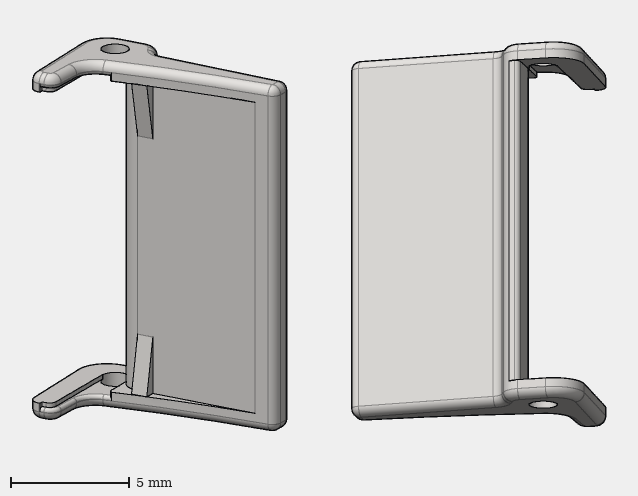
import cadquery as cq

HEIGHT = 15.5
CAP_THICKNESS = 0.78
EDGE_RADIUS = 0.39
HOLE_DIAMETER = 1.2

TIP_X = 8.39
HOOK_END_Y = -4.43
BACK_Y = 1.47
KNUCKLE_LEFT = (-1.86, BACK_Y)
HOOK_LEFT = (-1.67, HOOK_END_Y)
HOOK_RIGHT = (-0.39, HOOK_END_Y)
INNER_CORNER = (-0.31, -1.92)
WING_FRONT_MIDDLE = (4.08, -1.25)
WING_FRONT_TIP = (TIP_X, -0.93)
WING_BACK_TIP = (TIP_X, 0.26)
WING_ROOT = (1.75, 0.45)
KNUCKLE_RIGHT = (1.24, BACK_Y)

TIP_RADIUS = 0.4
HOOK_RADIUS = 0.55
CORNER_RADII = [
    (KNUCKLE_LEFT, 1.33),
    (HOOK_LEFT, HOOK_RADIUS),
    (HOOK_RIGHT, HOOK_RADIUS),
    (INNER_CORNER, 0.93),
    (WING_FRONT_TIP, TIP_RADIUS),
    (WING_BACK_TIP, TIP_RADIUS),
    (WING_ROOT, 0.53),
    (KNUCKLE_RIGHT, 0.82),
]

BARREL_LEFT_X = 0.68
BARREL_RADIUS = 0.98
BARREL_BACK_Y = 1.36
BARREL_BACK_RADIUS = 0.22
PANEL_Y = -BARREL_RADIUS
PANEL_LEFT_X = BARREL_LEFT_X + BARREL_RADIUS
PANEL_RIGHT_X = 7.41

GUSSET_WIDTH = 0.75
GUSSET_DEPTH = 0.51
GUSSET_HEIGHT = 2.53

GROOVE_DEPTH = 0.2
GROOVE_EDGE_RADIUS = 0.17
GROOVE_LEFT_X = -0.62
GROOVE_RIGHT_X = BARREL_LEFT_X
GROOVE_END_X = -1.12
GROOVE_TIP_Y = HOOK_END_Y + GROOVE_DEPTH
GROOVE_TIP_RADIUS = 0.31
GROOVE_FLARE_RADIUS = 0.23
GROOVE_FLARE_END = (GROOVE_RIGHT_X + GROOVE_FLARE_RADIUS, -1.74)
CUT_MARGIN = 0.15

BOTTOM_CAP_TOP = CAP_THICKNESS
TOP_CAP_BOTTOM = HEIGHT - CAP_THICKNESS
SPAN = TOP_CAP_BOTTOM - BOTTOM_CAP_TOP


def outline_prism(height):
    """Hook on the left, rounded knuckle around the hole and tapered wing to the right."""
    prism = (
        cq.Workplane("XY")
        .moveTo(*KNUCKLE_LEFT)
        .lineTo(*HOOK_LEFT)
        .lineTo(*HOOK_RIGHT)
        .lineTo(*INNER_CORNER)
        .threePointArc(WING_FRONT_MIDDLE, WING_FRONT_TIP)
        .lineTo(*WING_BACK_TIP)
        .lineTo(*WING_ROOT)
        .lineTo(*KNUCKLE_RIGHT)
        .close()
        .extrude(height)
    )
    for corner, radius in CORNER_RADII:
        prism = prism.edges(cq.selectors.NearestToPointSelector((*corner, height / 2))).fillet(radius)
    return prism


def box(x_range, y_range, z_range):
    """Axis-aligned box between the given (low, high) limits."""
    lows, highs = zip(x_range, y_range, z_range)
    sizes = [high - low for low, high in zip(lows, highs)]
    return cq.Workplane("XY").box(*sizes, centered=False).translate(lows)


def rounded_blank():
    """Full-height outline with both end faces rounded over."""
    return outline_prism(HEIGHT).faces("<Z or >Z").edges().fillet(EDGE_RADIUS)


def clear_between_caps(blank):
    """Leave only the barrel, panel and wing rim between the two caps."""
    barrel = (
        cq.Workplane("XY", origin=(0, 0, BOTTOM_CAP_TOP))
        .moveTo(BARREL_LEFT_X, 0)
        .radiusArc((PANEL_LEFT_X, PANEL_Y), -BARREL_RADIUS)
        .lineTo(PANEL_RIGHT_X, PANEL_Y)
        .lineTo(PANEL_RIGHT_X, HOOK_END_Y)
        .lineTo(TIP_X, HOOK_END_Y)
        .lineTo(TIP_X, BARREL_BACK_Y)
        .lineTo(BARREL_LEFT_X + BARREL_BACK_RADIUS, BARREL_BACK_Y)
        .radiusArc((BARREL_LEFT_X, BARREL_BACK_Y - BARREL_BACK_RADIUS), -BARREL_BACK_RADIUS)
        .close()
        .extrude(SPAN)
    )
    between = box((-TIP_X, 2 * TIP_X), (-TIP_X, TIP_X), (BOTTOM_CAP_TOP, TOP_CAP_BOTTOM))
    return blank.cut(between.cut(barrel))


def gusset():
    """Wedge standing on the bottom cap against the panel."""
    return (
        cq.Workplane("YZ", origin=(PANEL_LEFT_X, 0, BOTTOM_CAP_TOP))
        .moveTo(PANEL_Y, 0)
        .lineTo(PANEL_Y - GUSSET_DEPTH, 0)
        .lineTo(PANEL_Y, GUSSET_HEIGHT)
        .close()
        .extrude(GUSSET_WIDTH)
    )


def groove_cutter():
    """Bottom-cap groove running from the hole along and around the hook, with a rounded floor rim."""
    floor_z = BOTTOM_CAP_TOP - GROOVE_DEPTH
    outside_y = HOOK_END_Y - CUT_MARGIN
    flare_start = (GROOVE_RIGHT_X, GROOVE_FLARE_END[1] + GROOVE_FLARE_RADIUS)
    region = (
        cq.Workplane("XY", origin=(0, 0, EDGE_RADIUS))
        .moveTo(GROOVE_LEFT_X, 0)
        .lineTo(GROOVE_LEFT_X, GROOVE_TIP_Y + GROOVE_TIP_RADIUS)
        .radiusArc((GROOVE_LEFT_X - GROOVE_TIP_RADIUS, GROOVE_TIP_Y), GROOVE_TIP_RADIUS)
        .lineTo(GROOVE_END_X, GROOVE_TIP_Y)
        .lineTo(GROOVE_END_X, outside_y)
        .lineTo(GROOVE_FLARE_END[0], outside_y)
        .lineTo(*GROOVE_FLARE_END)
        .radiusArc(flare_start, GROOVE_FLARE_RADIUS)
        .lineTo(GROOVE_RIGHT_X, 0)
        .close()
        .extrude(BOTTOM_CAP_TOP - EDGE_RADIUS)
    )
    rounded_floor = outline_prism(floor_z).faces(">Z").edges().fillet(GROOVE_EDGE_RADIUS)
    return region.cut(rounded_floor)


def mirrored_to_top(shape):
    """Copy a bottom-cap feature to the top cap."""
    return shape.mirror("XY", (0, 0, HEIGHT / 2))


result = clear_between_caps(rounded_blank())

wedge = gusset()
result = result.union(wedge).union(mirrored_to_top(wedge))

groove = groove_cutter()
result = result.cut(groove).cut(mirrored_to_top(groove))

pivot_hole = cq.Workplane("XY").circle(HOLE_DIAMETER / 2).extrude(HEIGHT)
result = result.cut(pivot_hole)